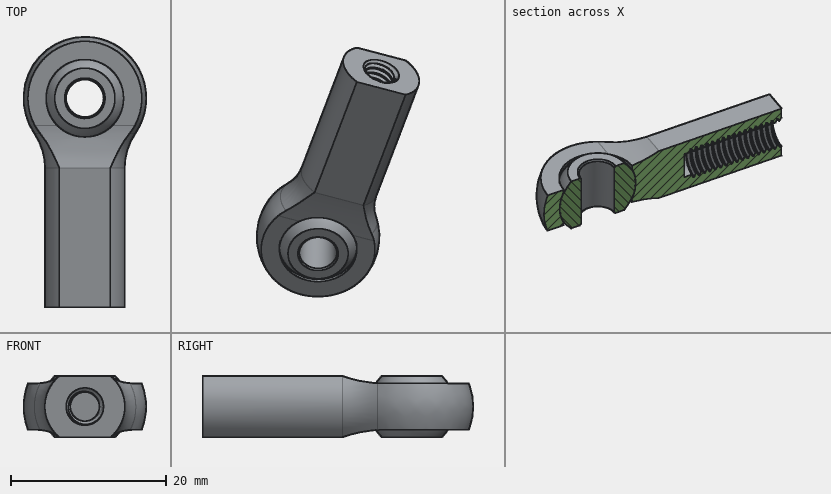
import cadquery as cq
import math


ball_diameter = 11.1125
ball_radius = ball_diameter / 2
ball_width = 7.9375
bore_diameter = 4.826
bore_chamfer = 0.2

head_radius = 7.9375
head_thickness = 6.0
socket_mouth_diameter = 10.0

overall_length = 34.925
shank_diameter = 10.319
shank_radius = shank_diameter / 2
shank_thickness = ball_width
shank_end_y = head_radius - overall_length
neck_fillet_radius = head_radius
flat_blend_start_y = -3.48

thread_major_diameter = 4.826
thread_major_radius = thread_major_diameter / 2
thread_minor_radius = 1.88
thread_pitch = 25.4 / 32
thread_depth = 14.2875
thread_root_width = thread_pitch / 8
thread_crest_width = thread_pitch / 4
groove_overlap = 0.1
countersink_depth = 0.4

neck_center_x = shank_radius + neck_fillet_radius
neck_center_distance = head_radius + neck_fillet_radius
shank_start_y = -math.sqrt(neck_center_distance**2 - neck_center_x**2)
head_share = head_radius / neck_center_distance
head_tangent_x = neck_center_x * head_share
head_tangent_y = shank_start_y * head_share


def point_on_arc(center, radius, start, end):
    """Point halfway along the shorter arc from start to end."""
    chord_middle = ((start[0] + end[0]) / 2, (start[1] + end[1]) / 2)
    offset = (chord_middle[0] - center[0], chord_middle[1] - center[1])
    stretch = radius / math.hypot(*offset)
    return (center[0] + offset[0] * stretch, center[1] + offset[1] * stretch)


def round_blank():
    """Head, neck and shank as one body of revolution about the Y axis."""
    neck_start = (head_tangent_x, head_tangent_y)
    neck_end = (shank_radius, shank_start_y)
    neck_center = (neck_center_x, shank_start_y)
    return (
        cq.Workplane("XY")
        .moveTo(0, head_radius)
        .threePointArc((head_radius, 0), neck_start)
        .threePointArc(point_on_arc(neck_center, neck_fillet_radius, neck_start, neck_end), neck_end)
        .lineTo(shank_radius, shank_end_y)
        .lineTo(0, shank_end_y)
        .close()
        .revolve(360, (0, 0), (0, 1))
    )


def flats_envelope():
    """Side outline between the flats: a thin head, arcs flaring out to the thicker shank."""
    head_z = head_thickness / 2
    shank_z = shank_thickness / 2
    run = flat_blend_start_y - shank_start_y
    rise = shank_z - head_z
    blend_radius = (run**2 + rise**2) / (2 * rise)
    blend_start = (flat_blend_start_y, head_z)
    blend_end = (shank_start_y, shank_z)
    blend_center = (flat_blend_start_y, head_z + blend_radius)
    middle_y, middle_z = point_on_arc(blend_center, blend_radius, blend_start, blend_end)
    return (
        cq.Workplane("YZ")
        .moveTo(head_radius, head_z)
        .lineTo(*blend_start)
        .threePointArc((middle_y, middle_z), blend_end)
        .lineTo(shank_end_y, shank_z)
        .lineTo(shank_end_y, -shank_z)
        .lineTo(shank_start_y, -shank_z)
        .threePointArc((middle_y, -middle_z), (flat_blend_start_y, -head_z))
        .lineTo(head_radius, -head_z)
        .close()
        .extrude(head_radius, both=True)
    )


def ball_socket():
    """Spherical seat for the ball, opened on both faces by a cylindrical mouth."""
    seat = cq.Workplane("XY").sphere(ball_radius)
    mouth = cq.Workplane("XY").circle(socket_mouth_diameter / 2).extrude(ball_width, both=True)
    return seat.union(mouth)


def thread_groove():
    """Helical groove along +Z that cuts the thread, starting one pitch before the hole mouth."""
    helix = cq.Wire.makeHelix(thread_pitch, thread_depth, thread_minor_radius)
    flank_width = (thread_pitch - thread_crest_width - thread_root_width) / 2
    flank_slope = flank_width / (thread_major_radius - thread_minor_radius)
    root_half = thread_root_width / 2
    inner_x = thread_minor_radius - groove_overlap
    inner_half = root_half + flank_slope * (thread_major_radius - inner_x)
    profile = (
        cq.Workplane("XZ")
        .moveTo(inner_x, -inner_half)
        .lineTo(thread_major_radius, -root_half)
        .lineTo(thread_major_radius, root_half)
        .lineTo(inner_x, inner_half)
        .close()
    )
    return profile.sweep(cq.Workplane(obj=helix), isFrenet=True).translate((0, 0, -thread_pitch))


def placed_at_shank_end(tool):
    """Turns a tool built along +Z so that it enters the shank end along +Y."""
    return tool.rotate((0, 0, 0), (1, 0, 0), -90).translate((0, shank_end_y, 0))


def cut_threaded_hole(body):
    """Flat-bottomed tapped hole with a countersunk mouth, in the shank end."""
    drilled = cq.Workplane("XY").circle(thread_minor_radius).extrude(thread_depth)
    countersink = cq.Workplane(
        obj=cq.Solid.makeCone(thread_major_radius, thread_minor_radius, countersink_depth)
    )
    for tool in (drilled, countersink, thread_groove()):
        body = body.cut(placed_at_shank_end(tool))
    return body


def make_housing():
    """Rod end body with its ball socket and tapped shank."""
    blank = round_blank().intersect(flats_envelope())
    return cut_threaded_hole(blank.cut(ball_socket()))


def make_ball():
    """Sphere cut flat on both sides, with a chamfered through bore."""
    slab = cq.Workplane("XY").box(ball_diameter, ball_diameter, ball_width)
    bore = cq.Workplane("XY").circle(bore_diameter / 2).extrude(ball_width, both=True)
    return (
        cq.Workplane("XY")
        .sphere(ball_radius)
        .intersect(slab)
        .cut(bore)
        .edges("%CIRCLE")
        .edges(cq.selectors.RadiusNthSelector(0))
        .chamfer(bore_chamfer)
    )


housing = make_housing()
ball = make_ball()
result = cq.Compound.makeCompound([housing.val(), ball.val()])